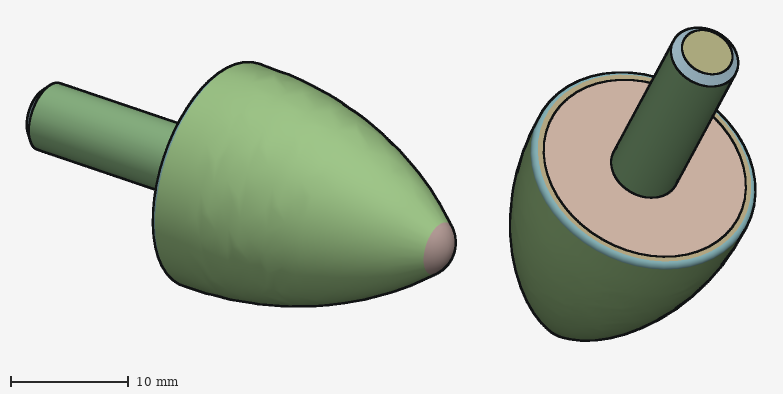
import cadquery as cq
import math


stud_diameter = 6.0
stud_length = 18.0
stud_chamfer = 0.75
plate_diameter = 18.0
plate_thickness = 2.0

bumper_length = 24.0
rim_rounding = 0.5
tip_radius = 3.0
widest_radius = 10.01
widest_x = 1.35

tip_centre_x = bumper_length - tip_radius
centre_distance_x = tip_centre_x - widest_x
radius_difference = widest_radius - tip_radius
flank_radius = (centre_distance_x**2 + widest_radius**2 - tip_radius**2) / (2 * radius_difference)
flank_centre_r = widest_radius - flank_radius


def flank_height(x):
    """Radius of the bumper flank at distance x from the mounting face."""
    return flank_centre_r + math.sqrt(flank_radius**2 - (x - widest_x)**2)


def tip_point(angle):
    """Point on the tip arc at the given angle above the X axis."""
    return (tip_centre_x + tip_radius * math.cos(angle), tip_radius * math.sin(angle))


def revolve_about_x(profile):
    """Turn a closed half profile in the XZ plane into a solid of revolution about X."""
    return profile.revolve(360, (0, 0, 0), (1, 0, 0))


def make_stud_insert():
    """Chamfered stud with a round plate whose back is flush with the mounting face."""
    stud_radius = stud_diameter / 2
    plate_radius = plate_diameter / 2
    profile = (
        cq.Workplane("XZ")
        .moveTo(-stud_length, 0)
        .lineTo(-stud_length, stud_radius - stud_chamfer)
        .lineTo(-stud_length + stud_chamfer, stud_radius)
        .lineTo(0, stud_radius)
        .lineTo(0, plate_radius)
        .lineTo(plate_thickness, plate_radius)
        .lineTo(plate_thickness, 0)
        .close()
    )
    return revolve_about_x(profile)


def make_bumper():
    """Bullet-shaped bumper with a recess for the plate in its mounting face."""
    plate_radius = plate_diameter / 2
    rim_radius = flank_height(rim_rounding)
    rim_inset = rim_rounding * (1 - math.sqrt(0.5))

    join_angle = math.atan2(-flank_centre_r, centre_distance_x)
    join = tip_point(join_angle)
    flank_middle_x = (rim_rounding + join[0]) / 2

    profile = (
        cq.Workplane("XZ")
        .moveTo(plate_thickness, 0)
        .lineTo(plate_thickness, plate_radius)
        .lineTo(0, plate_radius)
        .lineTo(0, rim_radius - rim_rounding)
        .threePointArc((rim_inset, rim_radius - rim_inset), (rim_rounding, rim_radius))
        .threePointArc((flank_middle_x, flank_height(flank_middle_x)), join)
        .threePointArc(tip_point(join_angle / 2), (bumper_length, 0))
        .close()
    )
    return revolve_about_x(profile)


stud_insert = make_stud_insert()
bumper = make_bumper()

result = cq.Compound.makeCompound([stud_insert.val(), bumper.val()])